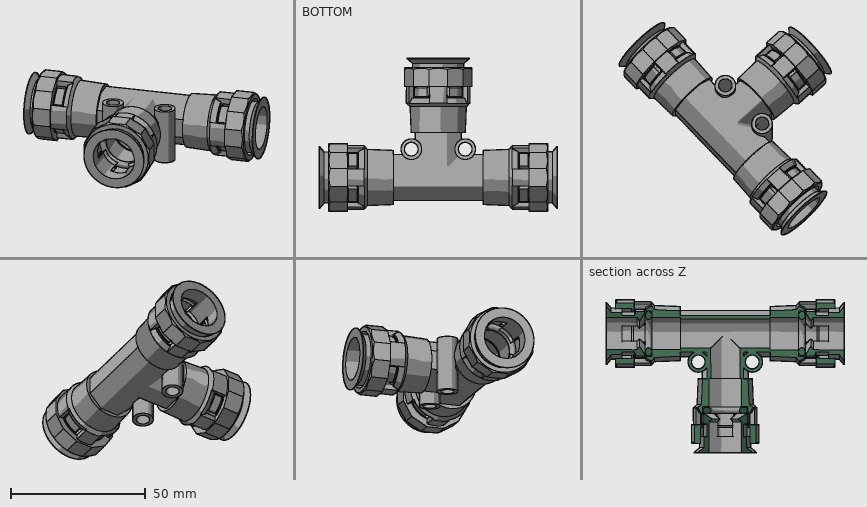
import cadquery as cq
import math

ARM = 88.41 / 2
PORT_TURNS = (0, 90, 180)
QUADRANT_SIGNS = ((1, 1), (-1, 1), (1, -1), (-1, -1))

BODY_SIDES = 8
BODY_APOTHEM = 8.6
BODY_EDGE_RADIUS = 0.75
CROTCH_RADIUS = 1.0
FLOW_RADIUS = 7.5
TUBE_RADIUS = 7.94

POST_X = 10.0
POST_Y = -10.5
POST_RADIUS = 3.85
POST_HOLE_RADIUS = 2.5
POST_TOP = 8.15
POST_BOTTOM = -12.15

COLLAR_START = 3.45
COLLAR_END = 10.5
COLLAR_SIDES = 12
COLLAR_APOTHEM = 25.11 / 2
COLLAR_CORNER = COLLAR_APOTHEM / math.cos(math.pi / COLLAR_SIDES)
COLLAR_CHAMFER_RADIUS = 12.3
COLLAR_BORE_RADIUS = 10.6
COLLAR_BORE_END = 9.4

CAGE_RADIUS = 11.88
CAGE_BORE_RADIUS = 9.9
FLARE_START = 16.6
FLARE_END = 17.95
SLEEVE_END = 27.55
SLEEVE_RADIUS = 10.47
SLEEVE_END_RADIUS = 10.08

WINDOW_END = 16.85
FLARE_SLOPE = (CAGE_RADIUS - SLEEVE_RADIUS) / (FLARE_END - FLARE_START)
LIP_ROOT_RADIUS = CAGE_RADIUS - FLARE_SLOPE * (WINDOW_END - FLARE_START)
LIP_END = 14.7
LIP_END_RADIUS = 10.56
UPRIGHT_BAR_HALF_WIDTH = 3.2
SIDE_BAR_HALF_ANGLE = math.radians(23.0)

FLANGE_RADIUS = 11.54
FLANGE_RIM = 0.2
FLANGE_CONE_END = 1.93
NECK_RADIUS = 9.55
SLOT_START = 6.0
FINGER_WIDTH = 6.62
FINGER_RADIUS = 8.7
HOOK_START = 10.5
HEAD_START = 10.97
HEAD_RADIUS = CAGE_BORE_RADIUS
HEAD_END = 14.15
TIP_DEPTH = 14.5
TIP_RADIUS = 9.45
TOOTH_RADIUS = 6.95
TOOTH_DEPTH = 12.5
TOOTH_RAMP_START = TOOTH_DEPTH - (TUBE_RADIUS - TOOTH_RADIUS)

SEAL_INNER_RADIUS = 7.4
SEAL_SECTION_RADIUS = (CAGE_BORE_RADIUS - SEAL_INNER_RADIUS) / 2
SEAL_CENTRE_RADIUS = SEAL_INNER_RADIUS + SEAL_SECTION_RADIUS
SEAL_DEPTH = TIP_DEPTH + SEAL_SECTION_RADIUS
SEAL_SEAT_END = SEAL_DEPTH + SEAL_SECTION_RADIUS

BEYOND = 15.0


def at_depth(depth):
    """X position of a depth in the -X socket."""
    return depth - ARM


def turned(points):
    """Solid of revolution about X from (depth, radius) points."""
    placed = [(at_depth(depth), radius) for depth, radius in points]
    return cq.Workplane("XY").polyline(placed).close().revolve(360, (0, 0, 0), (1, 0, 0))


def cylinder(start, end, radius):
    return turned([(start, 0), (end, 0), (end, radius), (start, radius)])


def to_port(body, turn):
    return body.rotate((0, 0, 0), (0, 0, 1), turn)


def octagonal_bar():
    """Octagonal bar from the tee centre to the -X sleeve, flats facing Y and Z."""
    diameter = 2 * BODY_APOTHEM / math.cos(math.pi / BODY_SIDES)
    bar = cq.Workplane("YZ").polygon(BODY_SIDES, diameter).extrude(SLEEVE_END - ARM)
    return bar.rotate((0, 0, 0), (1, 0, 0), 180 / BODY_SIDES)


def centre_body():
    body = octagonal_bar()
    for turn in PORT_TURNS[1:]:
        body = body.union(to_port(octagonal_bar(), turn))
    body = body.clean()
    flat_half_width = BODY_APOTHEM * math.tan(math.pi / BODY_SIDES)
    corner_edges = cq.selectors.BoxSelector(
        (-BODY_APOTHEM, -BODY_APOTHEM, -BODY_APOTHEM),
        (BODY_APOTHEM, -flat_half_width, BODY_APOTHEM),
    )
    body = body.edges(corner_edges).edges("not(#Z or |X or |Y)").fillet(CROTCH_RADIUS)
    return body.faces(">Z or <Z").edges("not(>X or <X or <Y)").fillet(BODY_EDGE_RADIUS)


def posts(radius):
    return (
        cq.Workplane("XY", origin=(0, 0, POST_BOTTOM))
        .pushPoints([(-POST_X, POST_Y), (POST_X, POST_Y)])
        .circle(radius)
        .extrude(POST_TOP - POST_BOTTOM)
    )


def collar():
    prism = (
        cq.Workplane("YZ", origin=(at_depth(COLLAR_START), 0, 0))
        .polygon(COLLAR_SIDES, 2 * COLLAR_CORNER)
        .extrude(COLLAR_END - COLLAR_START)
        .rotate((0, 0, 0), (1, 0, 0), 180 / COLLAR_SIDES)
    )
    growth = COLLAR_END - COLLAR_START
    chamfer_cone = turned([
        (COLLAR_START, 0),
        (COLLAR_END, 0),
        (COLLAR_END, COLLAR_CHAMFER_RADIUS + growth),
        (COLLAR_START, COLLAR_CHAMFER_RADIUS),
    ])
    return prism.intersect(chamfer_cone)


def window(y_sign, z_sign):
    """Space of one cage window, between an upright bar and a side bar, above the tapered lip."""
    slope = math.tan(SIDE_BAR_HALF_ANGLE)
    outline = [
        (UPRIGHT_BAR_HALF_WIDTH, UPRIGHT_BAR_HALF_WIDTH * slope),
        (UPRIGHT_BAR_HALF_WIDTH, BEYOND),
        (BEYOND, BEYOND),
        (BEYOND, BEYOND * slope),
    ]
    sector = (
        cq.Workplane("YZ", origin=(at_depth(COLLAR_END), 0, 0))
        .polyline([(y_sign * y, z_sign * z) for y, z in outline])
        .close()
        .extrude(WINDOW_END - COLLAR_END)
    )
    opening = turned([
        (COLLAR_END, 0),
        (LIP_END, 0),
        (LIP_END, LIP_END_RADIUS),
        (WINDOW_END, LIP_ROOT_RADIUS),
        (WINDOW_END, BEYOND),
        (COLLAR_END, BEYOND),
    ])
    return sector.intersect(opening)


def socket_shell():
    """Solid outside of one socket: collar, cage bars, flare and tapered sleeve."""
    shell = turned([
        (COLLAR_END, 0),
        (SLEEVE_END, 0),
        (SLEEVE_END, SLEEVE_END_RADIUS),
        (FLARE_END, SLEEVE_RADIUS),
        (FLARE_START, CAGE_RADIUS),
        (COLLAR_END, CAGE_RADIUS),
    ])
    for y_sign, z_sign in QUADRANT_SIGNS:
        shell = shell.cut(window(y_sign, z_sign))
    return shell.union(collar())


def socket_bore():
    """Stepped bore from the collar down to the flow bore at the tee centre."""
    bore_step = COLLAR_BORE_RADIUS - CAGE_BORE_RADIUS
    return turned([
        (COLLAR_START, 0),
        (ARM, 0),
        (ARM, FLOW_RADIUS),
        (SLEEVE_END, FLOW_RADIUS),
        (SLEEVE_END, TUBE_RADIUS),
        (SEAL_SEAT_END, TUBE_RADIUS),
        (SEAL_SEAT_END, CAGE_BORE_RADIUS),
        (COLLAR_BORE_END + bore_step, CAGE_BORE_RADIUS),
        (COLLAR_BORE_END, COLLAR_BORE_RADIUS),
        (COLLAR_START, COLLAR_BORE_RADIUS),
    ])


def make_tee():
    tee = centre_body().union(posts(POST_RADIUS))
    for turn in PORT_TURNS:
        tee = tee.union(to_port(socket_shell(), turn))
    for turn in PORT_TURNS:
        tee = tee.cut(to_port(socket_bore(), turn))
    return tee.cut(posts(POST_HOLE_RADIUS))


def make_collet():
    """Flanged sleeve whose inner end is split into four hooked fingers on the diagonals."""
    sleeve = turned([
        (0, TUBE_RADIUS),
        (0, FLANGE_RADIUS),
        (FLANGE_RIM, FLANGE_RADIUS),
        (FLANGE_CONE_END, NECK_RADIUS),
        (SLOT_START, NECK_RADIUS),
        (SLOT_START, FINGER_RADIUS),
        (HOOK_START, FINGER_RADIUS),
        (HEAD_START, HEAD_RADIUS),
        (HEAD_END, HEAD_RADIUS),
        (TIP_DEPTH, TIP_RADIUS),
        (TOOTH_DEPTH, TOOTH_RADIUS),
        (TOOTH_RAMP_START, TUBE_RADIUS),
    ])
    fingers = cylinder(0, SLOT_START, BEYOND)
    for angle in (45, 135):
        pair = (
            cq.Workplane("YZ", origin=(at_depth(SLOT_START), 0, 0))
            .rect(2 * BEYOND, FINGER_WIDTH)
            .extrude(TIP_DEPTH - SLOT_START)
            .rotate((0, 0, 0), (1, 0, 0), angle)
        )
        fingers = fingers.union(pair)
    return sleeve.intersect(fingers)


def make_seal():
    return (
        cq.Workplane("XY")
        .center(at_depth(SEAL_DEPTH), SEAL_CENTRE_RADIUS)
        .circle(SEAL_SECTION_RADIUS)
        .revolve(360, (0, -SEAL_CENTRE_RADIUS, 0), (1, -SEAL_CENTRE_RADIUS, 0))
    )


tee = make_tee()
collets = [to_port(make_collet(), turn) for turn in PORT_TURNS]
seals = [to_port(make_seal(), turn) for turn in PORT_TURNS]

result = cq.Compound.makeCompound([
    tee.val(),
    *[collet.val() for collet in collets],
    *[seal.val() for seal in seals],
])